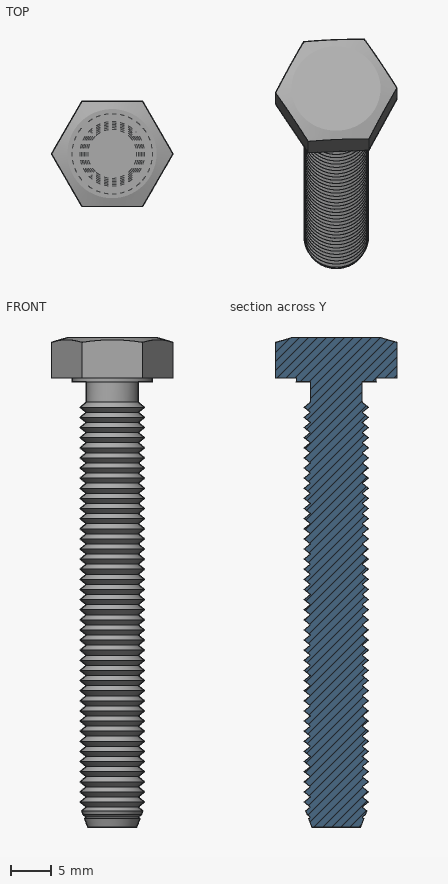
import cadquery as cq
import math

total_length = 60.5
head_height = 5.5
across_flats = 13.0
head_top_radius = 5.5
head_bevel_drop = 0.6
washer_radius = 4.95
washer_thickness = 0.5
root_diameter = 6.5
crest_diameter = 8.0
thread_turns = 42
neck_pitches = 2
tip_radius = 3.0
tip_cone_length = 2.55

shank_length = total_length - head_height
thread_pitch = shank_length / (thread_turns + neck_pitches)
neck_length = neck_pitches * thread_pitch
root_radius = root_diameter / 2
crest_radius = crest_diameter / 2
across_corners = across_flats / math.cos(math.radians(30))


def revolve_about_z(points):
    """Turn a closed (radius, z) outline around the bolt axis."""
    return cq.Workplane("XZ").polyline(points).close().revolve(360, (0, 0, 0), (0, 1, 0))


def make_head():
    """Hexagon with its top corners turned off by a shallow cone."""
    hexagon = (
        cq.Workplane("XY")
        .workplane(offset=washer_thickness)
        .polygon(6, across_corners)
        .extrude(head_height - washer_thickness)
    )
    corner_radius = across_corners / 2
    bevel_envelope = revolve_about_z([
        (0, 0),
        (corner_radius, 0),
        (corner_radius, head_height - head_bevel_drop),
        (head_top_radius, head_height),
        (0, head_height),
    ])
    return hexagon.intersect(bevel_envelope)


def make_washer_face():
    """Round bearing pad under the hexagon."""
    return cq.Workplane("XY").circle(washer_radius).extrude(washer_thickness)


def make_shank():
    """Plain neck followed by V-shaped thread rings, cut to a cone at the tip."""
    outline = [(0, 0), (root_radius, 0), (root_radius, -neck_length)]
    for turn in range(thread_turns):
        ring_top = -neck_length - turn * thread_pitch
        outline.append((crest_radius, ring_top - thread_pitch / 2))
        outline.append((root_radius, ring_top - thread_pitch))
    outline.append((0, -shank_length))
    tip_envelope = revolve_about_z([
        (0, 0),
        (crest_radius, 0),
        (crest_radius, -shank_length + tip_cone_length),
        (tip_radius, -shank_length),
        (0, -shank_length),
    ])
    return revolve_about_z(outline).intersect(tip_envelope)


result = make_head().union(make_washer_face()).union(make_shank())